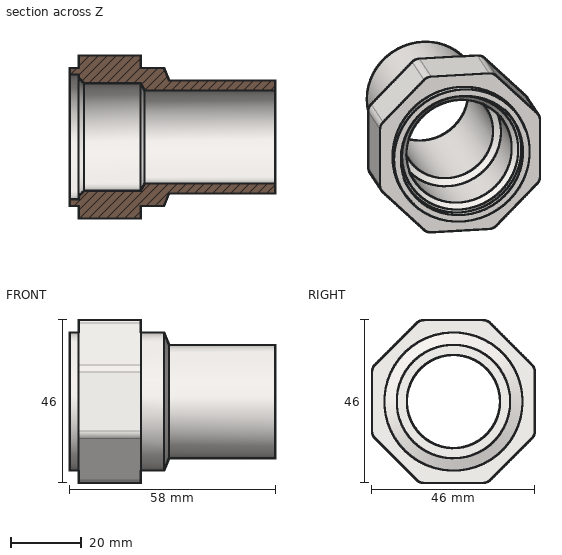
import cadquery as cq
import math

total_length = 58.0

side_count = 8
flats_width = 46.0
corner_radius = 2.9
octagon_start = 2.55
octagon_length = 17.5

collar_diameter = 39.0
collar_end = 26.7
shoulder_length = 1.4
pipe_diameter = 32.0

counterbore_diameter = 35.15
counterbore_depth = 2.55
lead_in_diameter = 33.4
lead_in_length = 1.55
socket_diameter = 30.3
socket_end = 20.0
seat_length = 1.15
bore_diameter = 26.2


def revolve_about_x(stations):
    """Solid of revolution from (x, diameter) stations along the X axis."""
    outline = [(x, diameter / 2) for x, diameter in stations]
    first_x = stations[0][0]
    last_x = stations[-1][0]
    closed_outline = [(first_x, 0)] + outline + [(last_x, 0)]
    return cq.Workplane("XY").polyline(closed_outline).close().revolve(360, (0, 0), (1, 0))


def make_octagon():
    """Octagonal prism with flats on the Y and Z sides and rounded corners."""
    across_corners = flats_width / math.cos(math.pi / side_count)
    return (
        cq.Workplane("YZ", origin=(octagon_start, 0, 0))
        .transformed(rotate=(0, 0, 180 / side_count))
        .polygon(side_count, across_corners)
        .extrude(octagon_length)
        .edges("|X")
        .fillet(corner_radius)
    )


def make_round_body():
    """Collar tapering through a conical shoulder to the pipe."""
    return revolve_about_x([
        (0, collar_diameter),
        (collar_end, collar_diameter),
        (collar_end + shoulder_length, pipe_diameter),
        (total_length, pipe_diameter),
    ])


def make_bore():
    """Counterbore, conical lead-in, socket, conical seat and through bore."""
    return revolve_about_x([
        (0, counterbore_diameter),
        (counterbore_depth, counterbore_diameter),
        (counterbore_depth, lead_in_diameter),
        (counterbore_depth + lead_in_length, socket_diameter),
        (socket_end, socket_diameter),
        (socket_end + seat_length, bore_diameter),
        (total_length, bore_diameter),
    ])


result = make_round_body().union(make_octagon()).cut(make_bore())